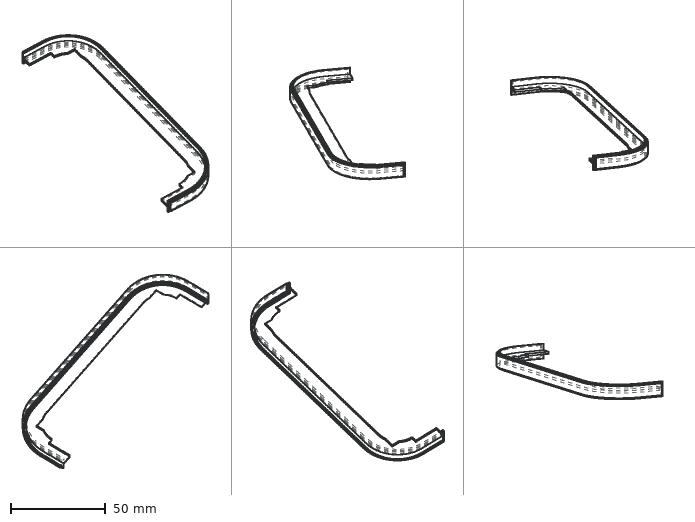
import cadquery as cq

length = 133.5
depth = 37.0
height = 8.0

corner_radius = 23.0
lip_thickness = 1.0
lip_height = 6.4
lip_end_setback = 1.1
wall_thickness = 1.0

flange_thickness = 1.2
flange_depth = 10.4
leg_flange_depth = 7.3
notch_side_inset = 12.5
notch_back_inset = 11.2

back_y = depth / 2
front_y = -depth / 2
bend_y = back_y - corner_radius


def u_region(inset, end_y, thickness):
    """Solid U outline, inset from the outer edge, centred on Z = 0."""
    half_width = length / 2 - inset
    top_y = back_y - inset
    radius = corner_radius - inset
    straight = half_width - radius
    diagonal = radius * 0.5 ** 0.5
    return (
        cq.Workplane("XY")
        .workplane(offset=-thickness / 2)
        .moveTo(-half_width, end_y)
        .lineTo(-half_width, bend_y)
        .threePointArc((-straight - diagonal, bend_y + diagonal), (-straight, top_y))
        .lineTo(straight, top_y)
        .threePointArc((straight + diagonal, bend_y + diagonal), (half_width, bend_y))
        .lineTo(half_width, end_y)
        .close()
        .extrude(thickness)
    )


def cutting_box(half_width, end_y, top_y):
    """Box symmetric about X = 0, tall enough to cut through the flange."""
    return (
        cq.Workplane("XY")
        .box(2 * half_width, top_y - end_y, height)
        .translate((0, (top_y + end_y) / 2, 0))
    )


def make_lip():
    lip = u_region(0, front_y + lip_end_setback, lip_height)
    return lip.cut(u_region(lip_thickness, front_y, height))


def make_wall():
    wall = u_region(lip_thickness, front_y, height)
    return wall.cut(u_region(lip_thickness + wall_thickness, front_y, height))


def make_flange():
    flange = u_region(lip_thickness, front_y, flange_thickness)
    flange = flange.cut(u_region(flange_depth, front_y, height))
    flange = flange.cut(cutting_box(length / 2 - leg_flange_depth, front_y, bend_y))
    return flange.cut(cutting_box(length / 2 - notch_side_inset, bend_y, back_y - notch_back_inset))


result = make_wall().union(make_lip()).union(make_flange())